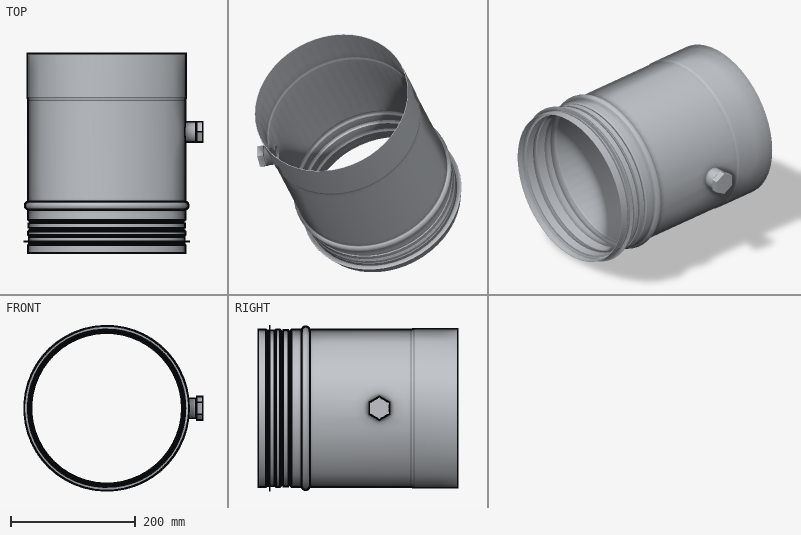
import cadquery as cq
import math

length = 320.0
wall = 0.8
pipe_radius = 126.5
socket_radius = 127.7
socket_start = 249.5
socket_taper = 4.8

bead_center = 76.0
bead_width = 12.8
bead_foot_fillet = 1.0
bead_radius = 131.5

groove_radius = 121.3
mouth_depth = 2.0
mouth_chamfer = 2.2
wide_groove_center = 44.0
wide_groove_width = 14.7
lip_groove_center = 20.8
lip_groove_width = 12.0

base_radius = 247.0 / 2
base_width = 11.0
plain_crown_radius = 251.5 / 2
plain_crown_width = 7.7
lip_crown_radius = 250.5 / 2
lip_crown_width = 9.5
lip_radius = 264.5 / 2
lip_thickness = 0.3
lip_center = 18.5

branch_y = 194.2
nipple_diameter = 32.5
bore_diameter = 26.2
overall_width = 286.5
head_thickness = 10.0
head_across_flats = nipple_diameter
head_gap = 1.0
shank_length = 14.5

foot_tolerance = 0.03
plug_end = overall_width - lip_radius
head_start = plug_end - head_thickness
nipple_end = head_start - head_gap


def add_groove(outline, center, width, offset):
    """Continue the outline across one groove, toward +Y, at an offset inside the pipe's skin."""
    start = center - width / 2
    end = center + width / 2
    skin = pipe_radius - offset
    mouth = skin - mouth_depth
    bottom = groove_radius - offset
    return (
        outline.lineTo(skin, start - mouth_chamfer)
        .lineTo(mouth, start - offset)
        .lineTo(bottom, start - offset)
        .lineTo(bottom, end + offset)
        .lineTo(mouth, end + offset)
        .lineTo(skin, end + mouth_chamfer)
    )


def revolved_core(offset):
    """Solid of revolution about Y, lying the given offset inside the pipe's outer skin."""
    skin = pipe_radius - offset
    half_bead = bead_width / 2 - offset
    outline = cq.Workplane("XY").moveTo(0, 0).lineTo(skin, 0)
    outline = add_groove(outline, lip_groove_center, lip_groove_width, offset)
    outline = add_groove(outline, wide_groove_center, wide_groove_width, offset)
    outline = (
        outline.lineTo(skin, bead_center - half_bead)
        .threePointArc((bead_radius - offset, bead_center), (skin, bead_center + half_bead))
        .lineTo(skin, socket_start - socket_taper)
        .lineTo(socket_radius - offset, socket_start)
        .lineTo(socket_radius - offset, length)
        .lineTo(0, length)
        .close()
    )
    core = outline.revolve(360, (0, 0, 0), (0, 1, 0))
    for foot_y in (bead_center - half_bead, bead_center + half_bead):
        foot = cq.selectors.BoxSelector(
            (-length, foot_y - foot_tolerance, -length),
            (length, foot_y + foot_tolerance, length),
        )
        core = core.edges("%CIRCLE").edges(foot).fillet(bead_foot_fillet + offset)
    return core


def branch_cylinder(diameter, start, end):
    """Cylinder on the branch axis between two X positions."""
    return cq.Workplane("YZ", origin=(start, branch_y, 0)).circle(diameter / 2).extrude(end - start)


def ring(inner_radius, outer_radius, center, width):
    """Flat ring around the Y axis."""
    return (
        cq.Workplane("XZ", origin=(0, center + width / 2, 0))
        .circle(outer_radius)
        .circle(inner_radius)
        .extrude(width)
    )


def make_pipe():
    """Sheet tube with grooves, bead and socket, and a hole below the nipple's bore."""
    tube = revolved_core(0).cut(revolved_core(wall))
    return tube.cut(branch_cylinder(bore_diameter, 0, nipple_end))


def make_seal(groove_center, crown_radius, crown_width):
    """Seal ring that stands on the groove's bottom and rises to a narrower crown."""
    base = ring(groove_radius, base_radius, groove_center, base_width)
    crown = ring(groove_radius, crown_radius, groove_center, crown_width)
    return base.union(crown)


def make_lip_seal():
    """Seal ring with a thin lip that stands out past the pipe."""
    seal = make_seal(lip_groove_center, lip_crown_radius, lip_crown_width)
    return seal.union(ring(groove_radius, lip_radius, lip_center, lip_thickness))


def make_nipple():
    """Short bored stub whose inner end is shaped to the pipe's skin."""
    stub = branch_cylinder(nipple_diameter, 0, nipple_end)
    stub = stub.cut(branch_cylinder(bore_diameter, 0, nipple_end))
    pipe_skin = cq.Workplane("XZ", origin=(0, length, 0)).circle(pipe_radius).extrude(length)
    return stub.cut(pipe_skin)


def make_plug():
    """Hexagonal head with flats facing +Y and -Y, and a shank that fits the bore."""
    across_corners = head_across_flats / math.cos(math.pi / 6)
    head = (
        cq.Workplane("YZ", origin=(head_start, branch_y, 0))
        .transformed(rotate=(0, 0, 90))
        .polygon(6, across_corners)
        .extrude(head_thickness)
    )
    return head.union(branch_cylinder(bore_diameter, head_start - shank_length, head_start))


pipe = make_pipe()
plain_seal = make_seal(wide_groove_center, plain_crown_radius, plain_crown_width)
lip_seal = make_lip_seal()
nipple = make_nipple()
plug = make_plug()

result = cq.Compound.makeCompound(
    [pipe.val(), plain_seal.val(), lip_seal.val(), nipple.val(), plug.val()]
)